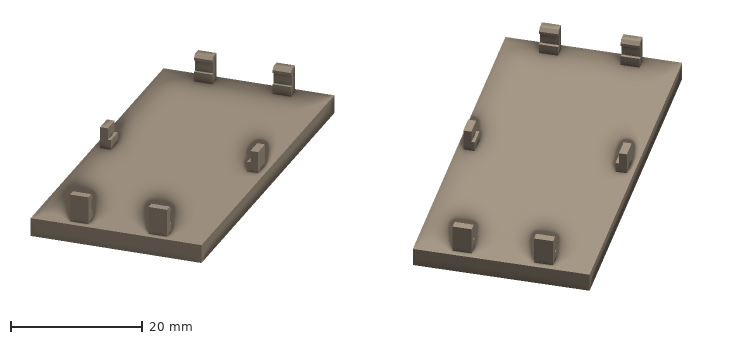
import cadquery as cq

plate_width = 27.8
plate_length = 57.7
plate_thickness = 3.0
total_height = 7.5

edge_inset = 1.05
tab_width = 3.0
foot_depth = 1.8
foot_height = 1.6
stem_depth = 1.25

clip_height = total_height - plate_thickness
clip_spacing = 12.8
hook_height = 1.0
hook_bevel = 0.5

stop_height = 3.5

stop_profile = [
    (0, 0),
    (foot_depth, 0),
    (foot_depth, foot_height),
    (stem_depth, foot_height),
    (stem_depth, stop_height),
    (0, stop_height),
]
clip_profile = [
    (0, 0),
    (foot_depth, 0),
    (foot_depth, foot_height),
    (stem_depth, foot_height),
    (stem_depth, clip_height - hook_height),
    (foot_depth, clip_height - hook_height),
    (foot_depth, clip_height - hook_bevel),
    (foot_depth - hook_bevel, clip_height),
    (0, clip_height),
]


def edge_tab(profile, edge_distance, along_edge, angle):
    """Extrude a tab at the -X edge, then turn it about Z to the edge it belongs to."""
    tab = cq.Workplane("XZ").polyline(profile).close().extrude(tab_width / 2, both=True)
    tab = tab.translate((edge_inset - edge_distance, along_edge, plate_thickness))
    return tab.rotate((0, 0, 0), (0, 0, 1), angle)


result = cq.Workplane("XY").box(
    plate_width, plate_length, plate_thickness, centered=(True, True, False)
)

for angle in (0, 180):
    result = result.union(edge_tab(stop_profile, plate_width / 2, 0, angle))

for angle in (90, -90):
    for side in (-1, 1):
        clip_offset = side * clip_spacing / 2
        result = result.union(edge_tab(clip_profile, plate_length / 2, clip_offset, angle))